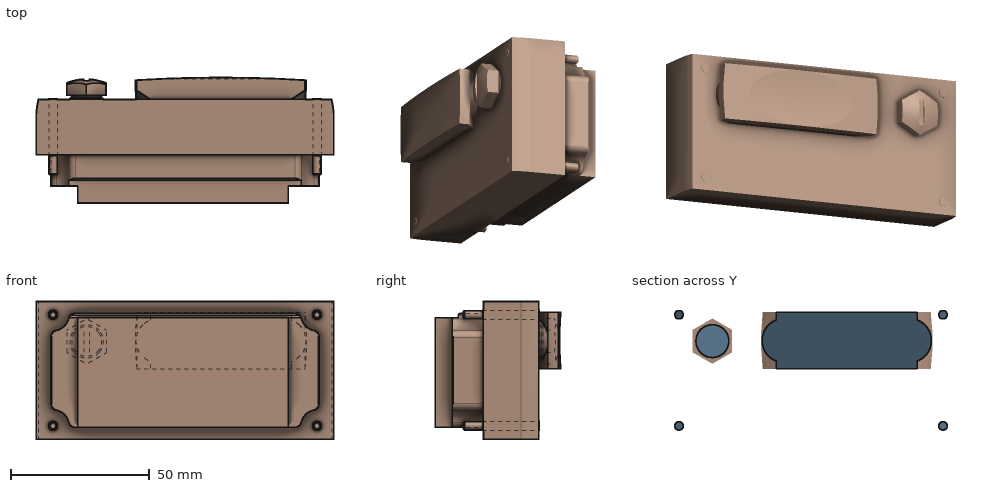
import cadquery as cq
import math


SLAB_X = 107.3
SLAB_Y = 20.0
SLAB_Z = 49.7
SLAB_END_INSET = 0.9
SLAB_END_ARC_Y = 6.5

SCREW_DX = 95.1
SCREW_DZ = 40.0
SCREW_D = 3.2
SCREW_TIP_D = 3.0
SCREW_COLLAR = 0.3
SCREW_FRONT = 7.2
SCREW_REAR = 0.2
SCREW_CHAMFER = 0.4

FLANGE_X = 96.6
FLANGE_Z = 41.1
FLANGE_Y = 11.3
FLANGE_END_BEVEL_X = 0.3
FLANGE_END_BEVEL_Y = 0.4
FLANGE_END_FLAT = 24.2
SCALLOP_R = 5.8
SCALLOP_BLEND_R = 2.5
TOP_Z = 19.0
TOP_STEP_Y = 9.1
TOP_CHAMFER = 0.8
BLOCK_X_MIN = -38.6
BLOCK_X_MAX = 37.2
BLOCK_FRONT_Y = 17.4

COVER_X = 61.8
COVER_Z = 20.4
COVER_CENTER_X = 12.9
COVER_CENTER_Z = 10.7
COVER_HEIGHT = 7.9
COVER_END_HEIGHT = 7.0
COVER_FOOT_HEIGHT = 3.2
COVER_FOOT_Z = 15.0
COVER_LIP = 0.3
COVER_END_BULGE = 0.6
COVER_FOOT_BULGE = 5.3
COVER_DISH = 0.4

PLUG_X = -35.5
PLUG_Z = 10.5
HEX_FLATS = 14.2
HEX_CORNERS = HEX_FLATS / math.cos(math.pi / 6)
HEX_BOTTOM = 1.5
PLUG_HEIGHT = 7.4
DOME_R = 17.9
NECK_D = 10.7
COLLAR_D = 12.0
COLLAR_HEIGHT = 0.2
NECK_FLARE_TOP = 0.9
SLOT_WIDTH = 1.9
SLOT_DEPTH = 0.6


def arc_radius(chord, rise):
    """Radius of an arc that rises by `rise` over a chord."""
    return (chord ** 2 / 4 + rise ** 2) / (2 * rise)


def box(x_min, x_max, y_min, y_max, z_min, z_max):
    return (
        cq.Workplane("XY")
        .box(x_max - x_min, y_max - y_min, z_max - z_min, centered=False)
        .translate((x_min, y_min, z_min))
    )


def cylinder_y(x, z, diameter, y_start, y_end):
    solid = cq.Solid.makeCylinder(
        diameter / 2, y_end - y_start, cq.Vector(x, y_start, z), cq.Vector(0, 1, 0)
    )
    return cq.Workplane(solid)


def screw_places():
    return [(sx * SCREW_DX / 2, sz * SCREW_DZ / 2) for sx in (-1, 1) for sz in (-1, 1)]


def make_housing():
    half_x = SLAB_X / 2
    arc_start = SLAB_Y - SLAB_END_ARC_Y
    end_r = arc_radius(2 * SLAB_END_ARC_Y, SLAB_END_INSET)
    mid_angle = math.asin(SLAB_END_ARC_Y / end_r) / 2
    mid_x = half_x - end_r * (1 - math.cos(mid_angle))
    mid_y = arc_start + end_r * math.sin(mid_angle)
    rear_x = half_x - SLAB_END_INSET
    slab = (
        cq.Workplane("XY")
        .moveTo(-half_x, 0)
        .lineTo(half_x, 0)
        .lineTo(half_x, arc_start)
        .threePointArc((mid_x, mid_y), (rear_x, SLAB_Y))
        .lineTo(-rear_x, SLAB_Y)
        .threePointArc((-mid_x, mid_y), (-half_x, arc_start))
        .close()
        .extrude(SLAB_Z / 2, both=True)
    )
    for x, z in screw_places():
        slab = slab.cut(cylinder_y(x, z, SCREW_D, 0, SLAB_Y))
    return slab


def make_screw(x, z):
    shank = cylinder_y(x, z, SCREW_D, -SCREW_COLLAR, SLAB_Y + SCREW_REAR)
    tip = cylinder_y(x, z, SCREW_TIP_D, -SCREW_FRONT, -SCREW_COLLAR)
    tip = tip.faces("<Y").chamfer(SCREW_CHAMFER)
    return shank.union(tip)


def make_insert():
    half_x = FLANGE_X / 2
    half_z = FLANGE_Z / 2
    flange = box(-half_x, half_x, -FLANGE_Y, 0, -half_z, half_z)
    for x, z in screw_places():
        flange = flange.cut(cylinder_y(x, z, 2 * SCALLOP_R, -FLANGE_Y, 0))
    flange = flange.edges("|Y").fillet(SCALLOP_BLEND_R)
    flange = flange.cut(box(-half_x, half_x, -FLANGE_Y, -TOP_STEP_Y, TOP_Z, half_z))
    bevel = (
        cq.Workplane("YZ")
        .moveTo(-TOP_STEP_Y, half_z)
        .lineTo(-TOP_STEP_Y, half_z - TOP_CHAMFER)
        .lineTo(-TOP_STEP_Y + TOP_CHAMFER, half_z)
        .close()
        .extrude(half_x, both=True)
    )
    flange = flange.cut(bevel)
    for side in (-1, 1):
        end_bevel = (
            cq.Workplane("XY")
            .moveTo(side * half_x, -FLANGE_Y)
            .lineTo(side * (half_x - FLANGE_END_BEVEL_X), -FLANGE_Y)
            .lineTo(side * half_x, -FLANGE_Y + FLANGE_END_BEVEL_Y)
            .close()
            .extrude(FLANGE_END_FLAT / 2, both=True)
        )
        flange = flange.cut(end_bevel)
    block = box(BLOCK_X_MIN, BLOCK_X_MAX, -BLOCK_FRONT_Y, -FLANGE_Y, -half_z, TOP_Z)
    return flange.union(block)


def cover_outline(width_z, corner_inset, end_inset):
    """Closed outline with straight long sides and outward-curved ends, drawn on the housing rear face."""
    corner_x = COVER_X / 2 - corner_inset
    end_x = COVER_X / 2 - end_inset
    half_z = width_z / 2
    plane = cq.Plane(
        origin=(COVER_CENTER_X, SLAB_Y, COVER_CENTER_Z), xDir=(1, 0, 0), normal=(0, 1, 0)
    )
    return (
        cq.Workplane(plane)
        .moveTo(-corner_x, -half_z)
        .lineTo(corner_x, -half_z)
        .threePointArc((end_x, 0), (corner_x, half_z))
        .lineTo(-corner_x, half_z)
        .threePointArc((-end_x, 0), (-corner_x, -half_z))
        .close()
    )


def make_cover():
    foot_inset = COVER_LIP + COVER_FOOT_BULGE
    foot = cover_outline(COVER_FOOT_Z, foot_inset, COVER_LIP).extrude(COVER_FOOT_HEIGHT)
    rim = cover_outline(COVER_Z, COVER_END_BULGE, 0).extrude(COVER_HEIGHT)
    for side in (-1, 1):
        undercut = (
            cq.Workplane("XY", origin=(COVER_CENTER_X, SLAB_Y, COVER_CENTER_Z))
            .moveTo(side * (COVER_X / 2 - foot_inset), 0)
            .lineTo(side * COVER_X / 2, 0)
            .lineTo(side * COVER_X / 2, COVER_FOOT_HEIGHT)
            .lineTo(side * (COVER_X / 2 - COVER_END_BULGE), COVER_FOOT_HEIGHT)
            .close()
            .extrude(COVER_Z / 2, both=True)
        )
        rim = rim.cut(undercut)
    crown_r = arc_radius(COVER_X, COVER_HEIGHT - COVER_END_HEIGHT)
    crown = cq.Workplane(
        cq.Solid.makeCylinder(
            crown_r,
            COVER_Z,
            cq.Vector(
                COVER_CENTER_X, SLAB_Y + COVER_HEIGHT - crown_r, COVER_CENTER_Z - COVER_Z / 2
            ),
        )
    )
    dish_r = arc_radius(COVER_Z, COVER_DISH)
    dish = cq.Workplane(
        cq.Solid.makeCylinder(
            dish_r,
            COVER_X,
            cq.Vector(
                COVER_CENTER_X - COVER_X / 2,
                SLAB_Y + COVER_HEIGHT - COVER_DISH + dish_r,
                COVER_CENTER_Z,
            ),
            cq.Vector(1, 0, 0),
        )
    )
    return foot.union(rim.intersect(crown).cut(dish))


def make_plug():
    collar_r = COLLAR_D / 2
    neck_r = NECK_D / 2
    neck = (
        cq.Workplane("XY")
        .moveTo(0, 0)
        .lineTo(collar_r, 0)
        .lineTo(collar_r, COLLAR_HEIGHT)
        .lineTo(neck_r, NECK_FLARE_TOP)
        .lineTo(neck_r, HEX_BOTTOM)
        .lineTo(0, HEX_BOTTOM)
        .close()
        .revolve(360, (0, 0, 0), (0, 1, 0))
        .translate((PLUG_X, SLAB_Y, PLUG_Z))
    )
    head_base = cq.Plane(
        origin=(PLUG_X, SLAB_Y + HEX_BOTTOM, PLUG_Z), xDir=(0, 0, 1), normal=(0, 1, 0)
    )
    head = (
        cq.Workplane(head_base)
        .polygon(6, HEX_CORNERS)
        .extrude(PLUG_HEIGHT - HEX_BOTTOM)
    )
    dome = cq.Workplane("XY").sphere(DOME_R).translate(
        (PLUG_X, SLAB_Y + PLUG_HEIGHT - DOME_R, PLUG_Z)
    )
    slot = box(
        PLUG_X - SLOT_WIDTH / 2,
        PLUG_X + SLOT_WIDTH / 2,
        SLAB_Y + PLUG_HEIGHT - SLOT_DEPTH,
        SLAB_Y + PLUG_HEIGHT,
        PLUG_Z - HEX_FLATS,
        PLUG_Z + HEX_FLATS,
    )
    return neck.union(head.intersect(dome).cut(slot))


housing = make_housing()
insert = make_insert()
cover = make_cover()
plug = make_plug()
screws = [make_screw(x, z) for x, z in screw_places()]

result = cq.Compound.makeCompound(
    [housing.val(), insert.val(), cover.val(), plug.val(), *[screw.val() for screw in screws]]
)